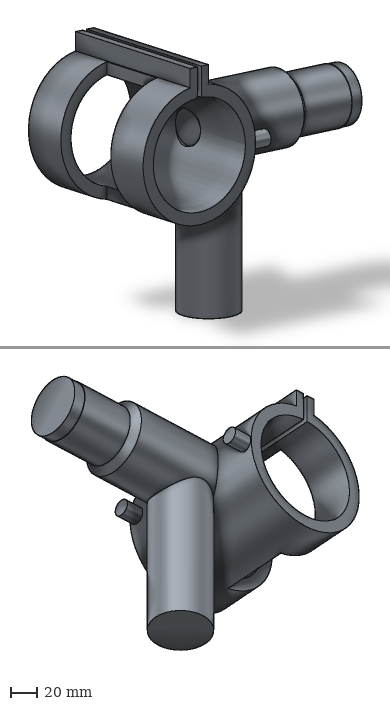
import cadquery as cq

clamp_length = 138.0
ring_outer_radius = 55.0
ring_bore_radius = 45.0
lug_top = 69.5
lug_outer_y = 9.0
split_half_gap = 2.0
window_width = 60.0
window_edge_y = -10.0
pin_radius = 7.0
pin_offset_x = 61.5
pin_end_y = 70.5

spigot_radius = 15.0
collar_radius = 31.2
collar_end_y = 133.0
journal_radius = 25.2
tip_radius = 24.8
tip_start_y = 185.0
arm_end_y = 195.0
leg_radius = 25.2
leg_center_y = 65.2
leg_bottom = -147.8

shoulder_end_y = collar_end_y + collar_radius - journal_radius


def cylinder_x(radius, length):
    """Cylinder centred on the origin, along X."""
    return cq.Workplane("YZ", origin=(-length / 2, 0, 0)).circle(radius).extrude(length)


def cylinder_y(radius, start_y, end_y, x=0):
    """Cylinder along Y between two Y positions."""
    return cq.Workplane("XZ", origin=(x, start_y, 0)).circle(radius).extrude(start_y - end_y)


def make_clamp():
    lug_block = cq.Workplane("XY").box(
        clamp_length, 2 * lug_outer_y, lug_top, centered=(True, True, False)
    )
    clamp = cylinder_x(ring_outer_radius, clamp_length).union(lug_block)

    pin_start_y = (ring_bore_radius + ring_outer_radius) / 2
    for side in (-1, 1):
        clamp = clamp.union(cylinder_y(pin_radius, pin_start_y, pin_end_y, side * pin_offset_x))

    clamp = clamp.cut(cylinder_x(ring_bore_radius, clamp_length))
    split_gap = cq.Workplane("XY").box(
        clamp_length, 2 * split_half_gap, lug_top, centered=(True, True, False)
    )
    clamp = clamp.cut(split_gap)

    window_depth = ring_outer_radius + window_edge_y
    window = cq.Workplane("XY").box(window_width, window_depth, 2 * ring_outer_radius)
    clamp = clamp.cut(window.translate((0, window_edge_y - window_depth / 2, 0)))

    return clamp.cut(cylinder_y(spigot_radius, 0, ring_outer_radius))


def make_post():
    arm_profile = [
        (0, 0),
        (collar_radius, 0),
        (collar_radius, collar_end_y),
        (journal_radius, shoulder_end_y),
        (journal_radius, tip_start_y),
        (tip_radius, tip_start_y),
        (tip_radius, arm_end_y),
        (0, arm_end_y),
    ]
    arm = cq.Workplane("XY").polyline(arm_profile).close().revolve(360, (0, 0), (0, 1))
    leg = cq.Workplane("XY", origin=(0, leg_center_y, 0)).circle(leg_radius).extrude(leg_bottom)

    post = arm.union(leg).cut(cylinder_x(ring_outer_radius, clamp_length))
    spigot = cylinder_y(spigot_radius, ring_bore_radius, leg_center_y)
    return post.union(spigot)


clamp = make_clamp()
post = make_post()
result = cq.Compound.makeCompound([clamp.solids().val(), post.solids().val()])